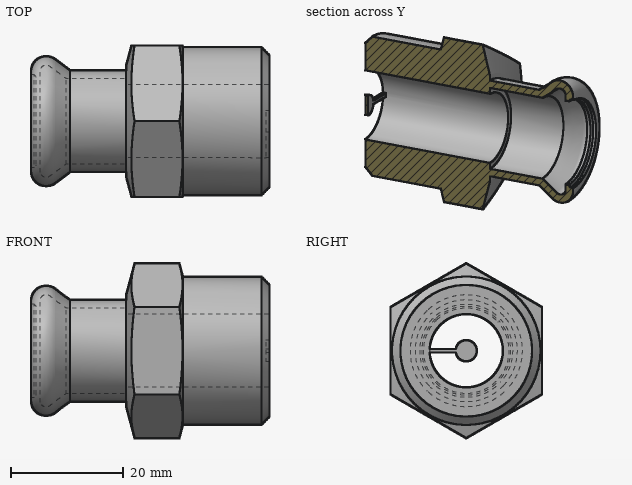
import cadquery as cq
import math

length = 42.5

neck_radius = 18.2 / 2
bead_radius = 2.7
bead_center_radius = 8.9
bead_end = 6.95

hex_start = 16.95
hex_end = 27.07
across_flats = 27.0
corner_radius = across_flats / math.sqrt(3)
hex_front_face_radius = 10.0
hex_front_chamfer = 1.5
hex_back_chamfer = 0.65

spigot_radius = 26.45 / 2
spigot_chamfer = 1.5

bore_radius = 13.0 / 2
socket_radius = 15.2 / 2
lip_radius = 15.8 / 2
mouth_radius = 8.3
mouth_depth = 0.6
lip_start = 0.95

wall_thickness = 1.6
groove_radius = bead_radius - wall_thickness
groove_end = 6.3

disc_radius = 1.9
bar_width = 0.7
disc_thickness = 0.7
wall_overlap = 0.42


def revolve_about_axis(profile):
    """Close a half profile drawn in XY and turn it about the X axis."""
    return profile.close().revolve(360, (0, 0, 0), (1, 0, 0))


def section_point(radius, angle):
    """Point on a circle about the bead section center, with the angle measured from +X."""
    return (
        bead_radius + radius * math.cos(angle),
        bead_center_radius + radius * math.sin(angle),
    )


def tangent_point(radius, end_x, end_radius):
    """Outer point where a line to (end_x, end_radius) touches a circle about the bead section center."""
    run = end_x - bead_radius
    rise = end_radius - bead_center_radius
    angle = math.atan2(rise, run) + math.acos(radius / math.hypot(run, rise))
    return section_point(radius, angle)


def make_socket():
    profile = (
        cq.Workplane("XY")
        .lineTo(0, bead_center_radius)
        .threePointArc(
            section_point(bead_radius, math.pi / 2),
            tangent_point(bead_radius, bead_end, neck_radius),
        )
        .lineTo(bead_end, neck_radius)
        .lineTo(hex_start, neck_radius)
        .lineTo(hex_start, 0)
    )
    return revolve_about_axis(profile)


def make_hexagon():
    prism = (
        cq.Workplane("YZ", origin=(hex_start, 0, 0))
        .polygon(6, 2 * corner_radius)
        .extrude(hex_end - hex_start)
        .rotate((0, 0, 0), (1, 0, 0), 90)
    )
    cone_envelope = (
        cq.Workplane("XY")
        .moveTo(hex_start, 0)
        .lineTo(hex_start, hex_front_face_radius)
        .lineTo(hex_start + hex_front_chamfer, corner_radius)
        .lineTo(hex_end - hex_back_chamfer, corner_radius)
        .lineTo(hex_end, spigot_radius)
        .lineTo(hex_end, 0)
    )
    return prism.intersect(revolve_about_axis(cone_envelope))


def make_spigot():
    return (
        cq.Workplane("YZ", origin=(hex_end, 0, 0))
        .circle(spigot_radius)
        .extrude(length - hex_end)
        .faces(">X")
        .chamfer(spigot_chamfer)
    )


def make_bore():
    profile = (
        cq.Workplane("XY")
        .lineTo(0, mouth_radius)
        .lineTo(mouth_depth, mouth_radius)
        .lineTo(lip_start, lip_radius)
        .lineTo(wall_thickness, lip_radius)
        .lineTo(wall_thickness, bead_center_radius)
        .threePointArc(
            section_point(groove_radius, math.pi / 2),
            tangent_point(groove_radius, groove_end, socket_radius),
        )
        .lineTo(groove_end, socket_radius)
        .lineTo(hex_start, socket_radius)
        .lineTo(hex_start, bore_radius)
        .lineTo(length, bore_radius)
        .lineTo(length, 0)
    )
    return revolve_about_axis(profile)


def make_center_disc():
    bar_length = bore_radius + wall_overlap
    plane = cq.Workplane("YZ", origin=(length - disc_thickness, 0, 0))
    disc = plane.circle(disc_radius).extrude(disc_thickness)
    bar = plane.center(-bar_length / 2, 0).rect(bar_length, bar_width).extrude(disc_thickness)
    return disc.union(bar)


body = make_socket().union(make_hexagon()).union(make_spigot())
result = body.cut(make_bore()).union(make_center_disc())